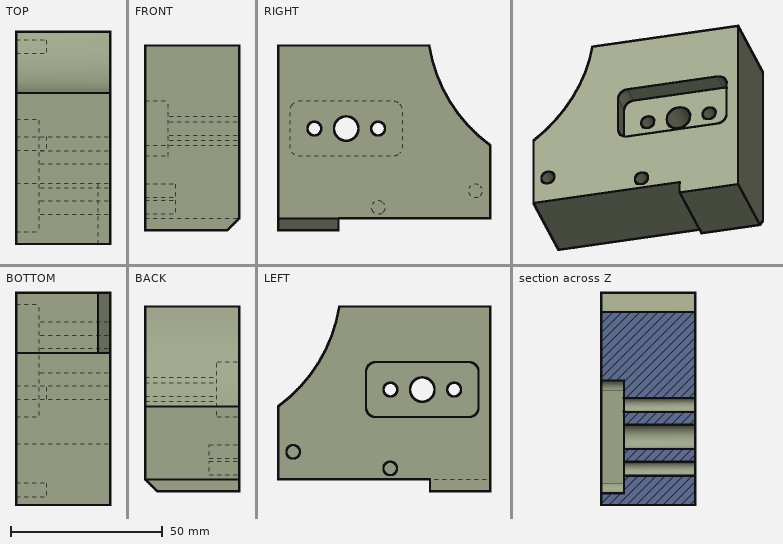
import cadquery as cq

width = 31.0
length = 70.0
height = 61.0

step_height = 4.0
foot_length = 19.95
top_length = 49.85
back_height = 28.0
scoop_radius = 50.4
edge_chamfer = 4.0

pocket_length = 37.1
pocket_height = 18.1
pocket_depth = 7.5
pocket_corner_radius = 3.2
pocket_y = 22.5
pocket_z = 33.5

small_diameter = 4.5
main_diameter = 8.0
side_hole_spacing = 21.0
blind_depth = 10.0
blind_centers = [(65.0, 13.0), (33.05, 7.55)]


def make_body():
    """Extrude the scooped, stepped YZ profile along X."""
    profile = (
        cq.Workplane("YZ")
        .lineTo(foot_length, 0)
        .lineTo(foot_length, step_height)
        .lineTo(length, step_height)
        .lineTo(length, back_height)
        .radiusArc((top_length, height), scoop_radius)
        .lineTo(0, height)
        .close()
    )
    body = profile.extrude(width)
    return body.faces("<Z").edges(">X").chamfer(edge_chamfer)


def make_pocket():
    """Rounded rectangular recess entering from the -X face."""
    return (
        cq.Workplane("YZ")
        .center(pocket_y, pocket_z)
        .rect(pocket_length, pocket_height)
        .extrude(pocket_depth)
        .edges("|X")
        .fillet(pocket_corner_radius)
    )


def make_holes(centers, diameter, depth):
    """Cylinders along X, starting on the -X face."""
    return cq.Workplane("YZ").pushPoints(centers).circle(diameter / 2).extrude(depth)


side_centers = [(pocket_y + side * side_hole_spacing / 2, pocket_z) for side in (-1, 1)]

result = (
    make_body()
    .cut(make_pocket())
    .cut(make_holes([(pocket_y, pocket_z)], main_diameter, width))
    .cut(make_holes(side_centers, small_diameter, width))
    .cut(make_holes(blind_centers, small_diameter, blind_depth))
)